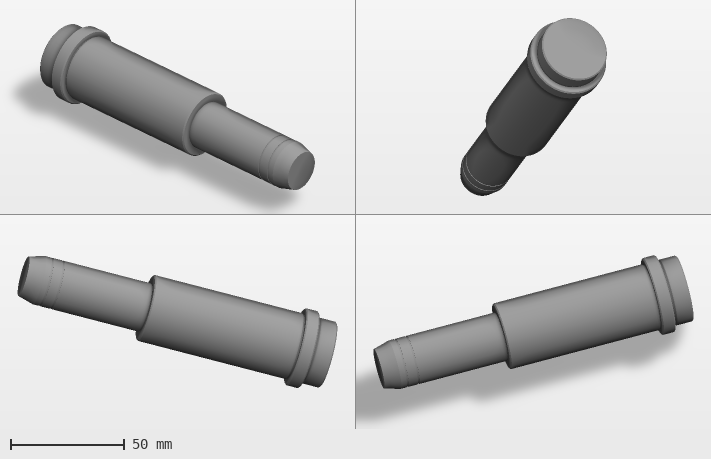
import cadquery as cq

total_length = 140.0
shoulder_x = 84.0
collar_start = 9.0
collar_width = 6.0
collar_end = collar_start + collar_width
taper_start = 132.9

body_radius = 30.0 / 2
collar_radius = 35.0 / 2
pin_radius = 22.0 / 2
tip_radius = 18.0 / 2

edge_chamfer = 0.5
undercut_depth = 0.4
head_undercut_width = 1.4
body_undercut_width = 0.8
undercut_ramp = 0.5
pin_groove_starts = (124.5, 129.5)
pin_groove_width = 0.8
pin_groove_depth = 0.3
shoulder_relief_width = 0.4


def cylinder(start, end, radius):
    """Solid cylinder on the X axis between two stations."""
    return cq.Workplane("YZ").workplane(offset=start).circle(radius).extrude(end - start)


def ring_groove(start, width, outer_radius, depth):
    """Ring to remove from a shaft to leave a shallow groove."""
    ring = cylinder(start, start + width, outer_radius)
    return ring.cut(cylinder(start, start + width, outer_radius - depth))


undercut_radius = body_radius - undercut_depth
head_undercut_start = collar_start - head_undercut_width
body_undercut_end = collar_end + body_undercut_width
body_profile = [
    (0, 0),
    (0, body_radius - edge_chamfer),
    (edge_chamfer, body_radius),
    (head_undercut_start, body_radius),
    (head_undercut_start + undercut_ramp, undercut_radius),
    (collar_start, undercut_radius),
    (collar_start, collar_radius - edge_chamfer),
    (collar_start + edge_chamfer, collar_radius),
    (collar_end - edge_chamfer, collar_radius),
    (collar_end, collar_radius - edge_chamfer),
    (collar_end, undercut_radius),
    (body_undercut_end - undercut_ramp, undercut_radius),
    (body_undercut_end, body_radius),
    (shoulder_x - edge_chamfer, body_radius),
    (shoulder_x, body_radius - edge_chamfer),
    (shoulder_x, 0),
]
body = cq.Workplane("XY").polyline(body_profile).close().revolve(360, (0, 0), (1, 0))

pin_profile = [
    (shoulder_x, 0),
    (shoulder_x, pin_radius),
    (taper_start, pin_radius),
    (total_length, tip_radius),
    (total_length, 0),
]
pin = cq.Workplane("XY").polyline(pin_profile).close().revolve(360, (0, 0), (1, 0))

pin = pin.cut(ring_groove(shoulder_x, shoulder_relief_width, pin_radius, pin_groove_depth))
for groove_start in pin_groove_starts:
    pin = pin.cut(ring_groove(groove_start, pin_groove_width, pin_radius, pin_groove_depth))

result = body.union(pin)